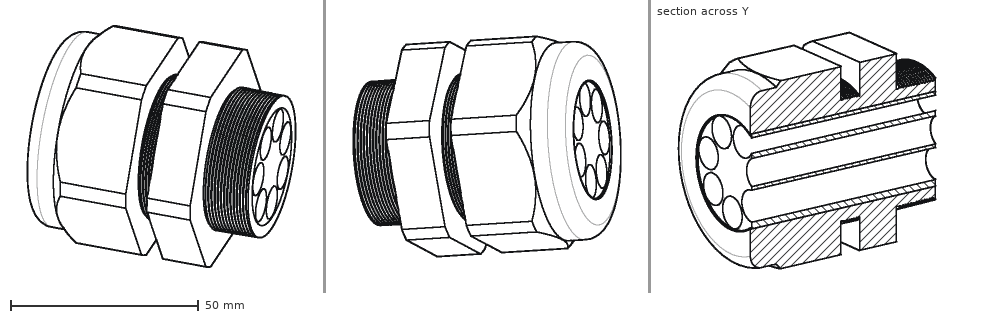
import cadquery as cq
import math

total_length = 60.96
across_flats = 53.09
across_corners = 58.91

dome_radius = 26.5
corner_radius = across_corners / 2
dome_fillet = 3.8
dome_length = 8.5
cap_end = 29.95
nut_start = 35.95
nut_end = 48.15

flank_half_angle = 30
crest_flat_ratio = 0.125

front_crest_radius = 19.83
front_pitch = 0.776
front_first_crest = 30.78
front_crest_count = 7

rear_crest_start_radius = 19.45
rear_crest_end_radius = 19.27
rear_pitch = 0.887
rear_first_crest = 48.98
rear_crest_count = 14
neck_radius = 18.75
neck_end = 48.35

insert_radius = 15.95
recess_radius = 15.7
recess_depth = 0.5
hole_count = 7
hole_diameter = 8.9
hole_circle_radius = 11.2


def cylinder(start, end, radius):
    """Solid round bar along X."""
    return cq.Workplane("YZ", origin=(start, 0, 0)).circle(radius).extrude(end - start)


def rounded_hexagon(start, end):
    """Hexagonal prism along X with flats at top and bottom and its corners turned round."""
    sharp_radius = across_flats / math.sqrt(3)
    angles = [math.radians(60 * i) for i in range(6)]
    corners = [(sharp_radius * math.cos(a), sharp_radius * math.sin(a)) for a in angles]
    prism = cq.Workplane("YZ", origin=(start, 0, 0)).polyline(corners).close().extrude(end - start)
    return prism.intersect(cylinder(start, end, corner_radius))


def revolved(outline):
    """Close a half outline along the X axis and turn it round that axis."""
    return outline.close().revolve(360, (0, 0, 0), (1, 0, 0))


def cap():
    """Domed front, then a hexagon whose corners are bevelled at 45 degrees behind the dome."""
    chamfer_length = corner_radius - dome_radius
    outline = (
        cq.Workplane("XY")
        .moveTo(0, 0)
        .lineTo(0, dome_radius - dome_fillet)
        .radiusArc((dome_fillet, dome_radius), dome_fillet)
        .lineTo(dome_length, dome_radius)
        .lineTo(dome_length + chamfer_length, corner_radius)
        .lineTo(cap_end, corner_radius)
        .lineTo(cap_end, 0)
    )
    return revolved(outline).intersect(rounded_hexagon(0, cap_end))


def ring_depth(pitch):
    """Depth of a sharp valley that fills the pitch between two crest flats."""
    valley_width = pitch * (1 - crest_flat_ratio)
    return valley_width / 2 / math.tan(math.radians(flank_half_angle))


def ring_points(first_crest, pitch, crest_radii):
    """Outline of a row of rings: both ends of each crest flat, with a valley between crests."""
    half_flat = pitch * crest_flat_ratio / 2
    points = []
    for index, radius in enumerate(crest_radii):
        crest = first_crest + index * pitch
        if index > 0:
            points.append((crest - pitch / 2, radius - ring_depth(pitch)))
        points.append((crest - half_flat, radius))
        points.append((crest + half_flat, radius))
    return points


def front_thread():
    root_radius = front_crest_radius - ring_depth(front_pitch)
    crest_radii = [front_crest_radius] * front_crest_count
    first_valley = front_first_crest - front_pitch / 2
    last_valley = first_valley + front_crest_count * front_pitch
    outline = cq.Workplane("XY").polyline([
        (cap_end, 0),
        (cap_end, root_radius),
        (first_valley, root_radius),
        *ring_points(front_first_crest, front_pitch, crest_radii),
        (last_valley, root_radius),
        (nut_start, root_radius),
        (nut_start, 0),
    ])
    return revolved(outline)


def rear_thread():
    """Neck that flares in an arc up to the first crest, then rings up to the free end."""
    taper = (rear_crest_end_radius - rear_crest_start_radius) / (rear_crest_count - 1)
    crest_radii = [rear_crest_start_radius + taper * index for index in range(rear_crest_count)]
    rings = ring_points(rear_first_crest, rear_pitch, crest_radii)
    outline = (
        cq.Workplane("XY")
        .moveTo(nut_end, 0)
        .lineTo(nut_end, neck_radius)
        .lineTo(neck_end, neck_radius)
        .tangentArcPoint(rings[0], relative=False)
    )
    for point in rings[1:-1]:
        outline = outline.lineTo(*point)
    outline = outline.lineTo(total_length, rear_crest_end_radius).lineTo(total_length, 0)
    return revolved(outline)


def gland_body():
    solid = cap().union(front_thread()).union(rounded_hexagon(nut_start, nut_end)).union(rear_thread())
    return solid.cut(cylinder(0, total_length, insert_radius))


def insert_plug():
    """Plug that fills the bore, with a shallow recess in its front face and a ring of cable holes."""
    plug = cylinder(0, total_length, insert_radius).cut(cylinder(0, recess_depth, recess_radius))
    holes = (
        cq.Workplane("YZ")
        .polarArray(hole_circle_radius, -90, 360, hole_count)
        .circle(hole_diameter / 2)
        .extrude(total_length)
    )
    return plug.cut(holes)


body = gland_body()
insert = insert_plug()

result = cq.Compound.makeCompound([body.val(), insert.val()])